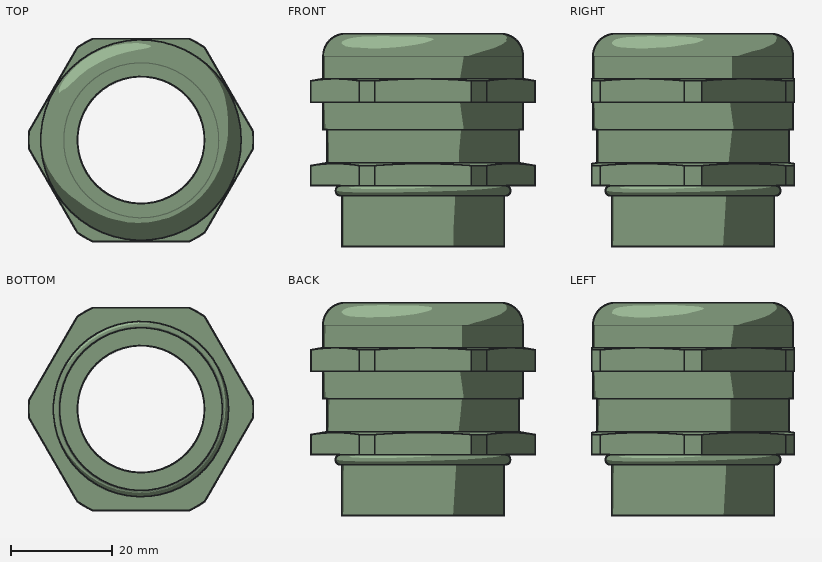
import cadquery as cq
import math

thread_top = 10.0
seal_top = 12.0
lower_hex_top = 16.52
body_top = 23.05
upper_hex_bottom = 28.45
upper_hex_top = 33.1
total_height = 42.0

bore_radius = 12.5
thread_radius = 16.05
seal_radius = 17.28
body_radius = 18.95
cap_radius = 19.75
cap_rounding = 4.47

across_flats = 40.0
corner_radius = 22.15
collar_slope_angle = 10


def cylinder(radius, bottom, top):
    return cq.Workplane("XY").workplane(offset=bottom).circle(radius).extrude(top - bottom)


def wrench_collar(bottom, top, neck_radius):
    """Hexagon trimmed by a cylinder at its corners, its top sloping down from the neck."""
    corner_diameter = across_flats / math.cos(math.pi / 6)
    hexagon = (
        cq.Workplane("XY")
        .workplane(offset=bottom)
        .polygon(6, corner_diameter)
        .extrude(top - bottom)
    )
    slope_drop = (corner_radius - neck_radius) * math.tan(math.radians(collar_slope_angle))
    turned_blank = (
        cq.Workplane("XZ")
        .moveTo(0, bottom)
        .lineTo(corner_radius, bottom)
        .lineTo(corner_radius, top - slope_drop)
        .lineTo(neck_radius, top)
        .lineTo(0, top)
        .close()
        .revolve(360, (0, 0, 0), (0, 1, 0))
    )
    return hexagon.intersect(turned_blank)


def sealing_ring():
    """Ring with a fully rounded rim below the lower collar."""
    rim_radius = (seal_top - thread_top) / 2
    rim_center = seal_radius - rim_radius
    return (
        cq.Workplane("XZ")
        .moveTo(0, thread_top)
        .lineTo(rim_center, thread_top)
        .threePointArc((seal_radius, thread_top + rim_radius), (rim_center, seal_top))
        .lineTo(0, seal_top)
        .close()
        .revolve(360, (0, 0, 0), (0, 1, 0))
    )


def cap():
    """Compression cap with a rounded top edge."""
    return cylinder(cap_radius, body_top, total_height).faces(">Z").edges().fillet(cap_rounding)


bore = cylinder(bore_radius, 0, total_height)

result = (
    cylinder(thread_radius, 0, thread_top)
    .union(sealing_ring())
    .union(wrench_collar(seal_top, lower_hex_top, body_radius))
    .union(cylinder(body_radius, lower_hex_top, body_top))
    .union(cap())
    .union(wrench_collar(upper_hex_bottom, upper_hex_top, cap_radius))
    .cut(bore)
)